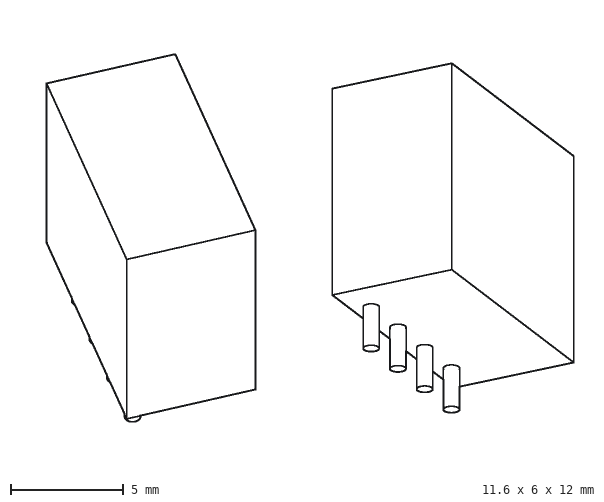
import cadquery as cq

case_width = 11.6
case_depth = 6.0
total_height = 12.0
pin_length = 2.0
case_height = total_height - pin_length

pin_count = 4
pin_pitch = 2.55
pin_diameter = 0.72
pin_inset = 0.91
pin_row_y = -case_depth / 2 + pin_inset


def make_case():
    """Plain block standing on the XY plane, centred in X and Y."""
    return cq.Workplane("XY").box(case_width, case_depth, case_height, centered=(True, True, False))


def make_pins():
    """Pins hanging down from the underside of the case, centred along X."""
    return (
        cq.Workplane("XY")
        .center(0, pin_row_y)
        .rarray(pin_pitch, 0.12, pin_count, 1)
        .circle(pin_diameter / 2)
        .extrude(-pin_length)
    )


result = make_case().union(make_pins())